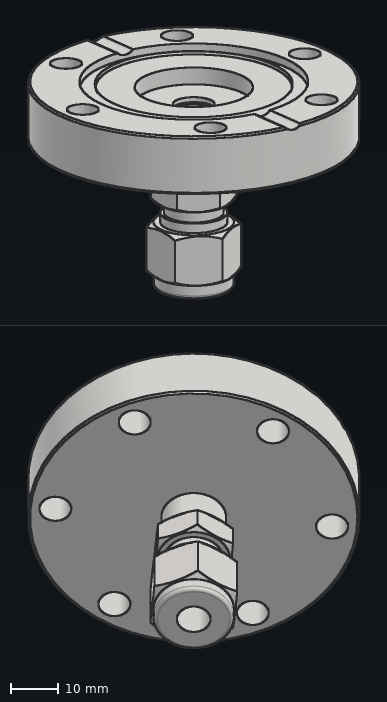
import cadquery as cq
import math

TOTAL_HEIGHT = 45.85

FLANGE_DIAMETER = 70.0
FLANGE_THICKNESS = 12.95
RIM_CHAMFER = 0.4

RECESS_DIAMETER = 48.3
RECESS_DEPTH = 1.8
KNIFE_DIAMETER = 41.85
KNIFE_DEPTH = 0.55
FLOOR_DIAMETER = 41.45
FLOOR_DEPTH = 1.25

POCKET_DIAMETER = 25.0
POCKET_DEPTH = 5.05
PASSAGE_DIAMETER = 8.8
SOCKET_TOP_DEPTH = 6.15

BOLT_COUNT = 6
BOLT_HOLE_DIAMETER = 6.7
BOLT_CIRCLE_DIAMETER = 58.65
FIRST_BOLT_ANGLE = 90.0

GROOVE_WIDTH = 4.05
GROOVE_DEPTH = 0.85

NECK_DIAMETER = 13.7
BORE_DIAMETER = 7.1
BORE_CHAMFER = 0.2
BODY_HEX_FLATS = 15.9
BODY_HEX_TOP = -20.3
BODY_HEX_HEIGHT = 6.3
RELIEF_DIAMETER = 12.7
COLLAR_DIAMETER = 14.2
COLLAR_TOP = -29.3
NUT_FLATS = 17.6
NUT_TOP = -31.4
NUT_HEIGHT = 11.35
NUT_END_DIAMETER = 17.0
NUT_END_FILLET = 0.85
HEX_CHAMFER_ANGLE = 30.0
HEX_FACE_RATIO = 0.97


def cylinder(diameter, top, bottom):
    """Vertical cylinder on the Z axis between two heights."""
    return cq.Workplane("XY").workplane(offset=bottom).circle(diameter / 2).extrude(top - bottom)


def chamfered_hexagon(flats, top, height):
    """Hexagon with corners along X, both ends turned down by a cone."""
    corner_radius = flats / math.sqrt(3)
    face_radius = flats * HEX_FACE_RATIO / 2
    drop = (corner_radius - face_radius) * math.tan(math.radians(HEX_CHAMFER_ANGLE))
    bottom = top - height
    hexagon = cq.Workplane("XY").workplane(offset=bottom).polygon(6, 2 * corner_radius).extrude(height)
    envelope = (
        cq.Workplane("XZ")
        .moveTo(0, top)
        .lineTo(face_radius, top)
        .lineTo(corner_radius, top - drop)
        .lineTo(corner_radius, bottom + drop)
        .lineTo(face_radius, bottom)
        .lineTo(0, bottom)
        .close()
        .revolve(360, (0, 0, 0), (0, 1, 0))
    )
    return hexagon.intersect(envelope)


def sealing_recess():
    """Material removed around and inside the knife edge."""
    return (
        cq.Workplane("XZ")
        .lineTo(RECESS_DIAMETER / 2, 0)
        .lineTo(RECESS_DIAMETER / 2, -RECESS_DEPTH)
        .lineTo(KNIFE_DIAMETER / 2, -KNIFE_DEPTH)
        .lineTo(FLOOR_DIAMETER / 2, -FLOOR_DEPTH)
        .lineTo(0, -FLOOR_DEPTH)
        .close()
        .revolve(360, (0, 0, 0), (0, 1, 0))
    )


def leak_grooves():
    """Round-bottomed grooves along X, from the rim to the sealing recess."""
    radius = (GROOVE_WIDTH ** 2 / 4 + GROOVE_DEPTH ** 2) / (2 * GROOVE_DEPTH)
    cutter = (
        cq.Workplane("YZ")
        .center(0, radius - GROOVE_DEPTH)
        .circle(radius)
        .extrude(FLANGE_DIAMETER / 2, both=True)
    )
    return cutter.cut(cylinder(RECESS_DIAMETER, 2 * radius, -RECESS_DEPTH))


def make_flange():
    flange = cylinder(FLANGE_DIAMETER, 0, -FLANGE_THICKNESS).edges().chamfer(RIM_CHAMFER)
    flange = flange.cut(sealing_recess())
    flange = flange.cut(cylinder(POCKET_DIAMETER, 0, -POCKET_DEPTH))
    flange = flange.cut(cylinder(PASSAGE_DIAMETER, 0, -FLANGE_THICKNESS))
    flange = flange.cut(cylinder(NECK_DIAMETER, -SOCKET_TOP_DEPTH, -FLANGE_THICKNESS))
    bolt_holes = (
        cq.Workplane("XY")
        .polarArray(BOLT_CIRCLE_DIAMETER / 2, FIRST_BOLT_ANGLE, 360, BOLT_COUNT)
        .circle(BOLT_HOLE_DIAMETER / 2)
        .extrude(-FLANGE_THICKNESS)
    )
    return flange.cut(bolt_holes).cut(leak_grooves())


def make_fitting():
    body_hex_bottom = BODY_HEX_TOP - BODY_HEX_HEIGHT
    nut_bottom = NUT_TOP - NUT_HEIGHT
    nut_end = cylinder(NUT_END_DIAMETER, nut_bottom, -TOTAL_HEIGHT)
    nut_end = nut_end.faces("<Z").edges().fillet(NUT_END_FILLET)
    fitting = (
        cylinder(NECK_DIAMETER, -SOCKET_TOP_DEPTH, BODY_HEX_TOP)
        .union(chamfered_hexagon(BODY_HEX_FLATS, BODY_HEX_TOP, BODY_HEX_HEIGHT))
        .union(cylinder(RELIEF_DIAMETER, body_hex_bottom, COLLAR_TOP))
        .union(cylinder(COLLAR_DIAMETER, COLLAR_TOP, NUT_TOP))
        .union(chamfered_hexagon(NUT_FLATS, NUT_TOP, NUT_HEIGHT))
        .union(nut_end)
    )
    fitting = fitting.cut(cylinder(BORE_DIAMETER, 0, -TOTAL_HEIGHT))
    bore_mouth = fitting.faces(">Z").edges(cq.selectors.RadiusNthSelector(0))
    return bore_mouth.chamfer(BORE_CHAMFER)


flange = make_flange()
fitting = make_fitting()
result = cq.Compound.makeCompound([flange.val(), fitting.val()])